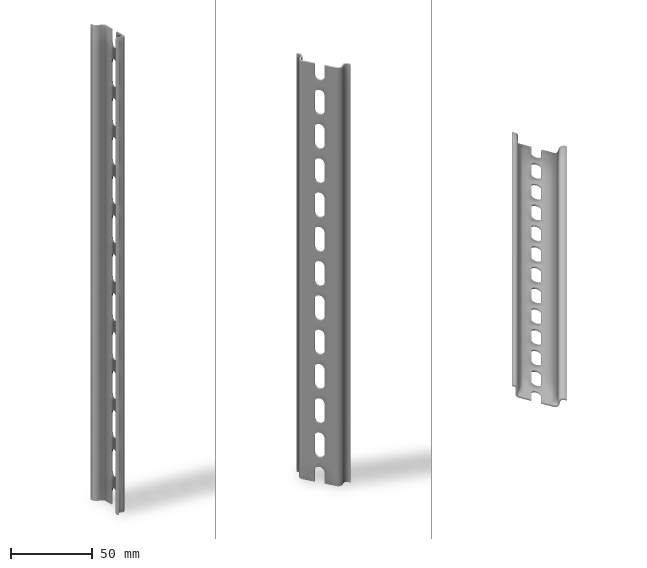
import cadquery as cq

length = 305.0
width = 35.0
depth = 7.5
thickness = 1.0

hat_width = 28.0
inner_bend_radius = 1.8
outer_bend_radius = inner_bend_radius + thickness

slot_length = 18.0
slot_width = 6.5
slot_pitch = 25.0
slot_count = 13


def rail_body():
    """Extrude the bent-sheet profile, centred on X, Y and Z."""
    front = -depth / 2
    back = depth / 2
    leg_outer = hat_width / 2
    leg_inner = leg_outer - thickness
    half_profile = [
        (0, back),
        (leg_outer, back),
        (leg_outer, front + thickness),
        (width / 2, front + thickness),
        (width / 2, front),
        (leg_inner, front),
        (leg_inner, back - thickness),
        (0, back - thickness),
    ]
    half = (
        cq.Workplane("XY", origin=(0, 0, -length / 2))
        .polyline(half_profile)
        .close()
        .extrude(length)
    )

    half = bend(half, [(leg_outer, back), (leg_inner, front)], outer_bend_radius)
    half = bend(
        half,
        [(leg_inner, back - thickness), (leg_outer, front + thickness)],
        inner_bend_radius,
    )
    return half.union(half.mirror("YZ")).clean()


def bend(body, corners, radius):
    """Round the lengthwise edges that pass through the given XY corners."""
    edges = [
        body.edges(cq.selectors.NearestToPointSelector((x, y, 0))).val()
        for x, y in corners
    ]
    return body.newObject(edges).fillet(radius)


def slots():
    """Rounded slots spaced evenly along the rail, cutting through in Y."""
    return (
        cq.Workplane("XZ")
        .rarray(3, slot_pitch, 1, slot_count)
        .slot2D(slot_length, slot_width, 90)
        .extrude(depth, both=True)
    )


result = rail_body().cut(slots())